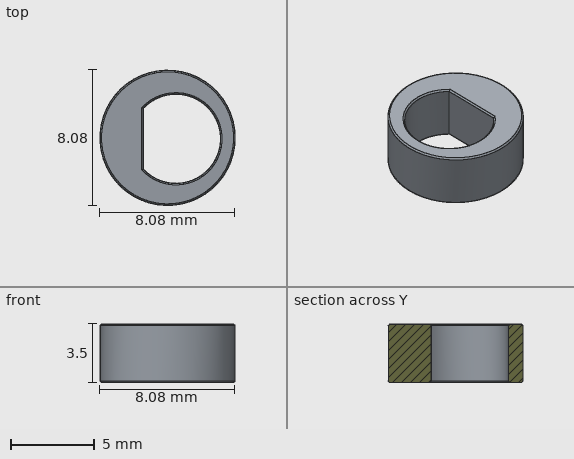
import cadquery as cq
import math

outer_diameter = 8.08
height = 3.5
chamfer = 0.1

bore_radius = 2.66
bore_center_x = 0.5
bore_center_y = -0.06
flat_x = -1.45
flat_offset = bore_center_x - flat_x


def make_bore():
    """D-shaped prism running through the full height."""
    half_flat = math.sqrt(bore_radius**2 - flat_offset**2)
    return (
        cq.Workplane("XY")
        .center(bore_center_x, bore_center_y)
        .moveTo(-flat_offset, -half_flat)
        .threePointArc((bore_radius, 0), (-flat_offset, half_flat))
        .close()
        .extrude(height)
    )


bored_disc = cq.Workplane("XY").circle(outer_diameter / 2).extrude(height).cut(make_bore())
result = bored_disc.faces("<Z or >Z").edges().chamfer(chamfer)